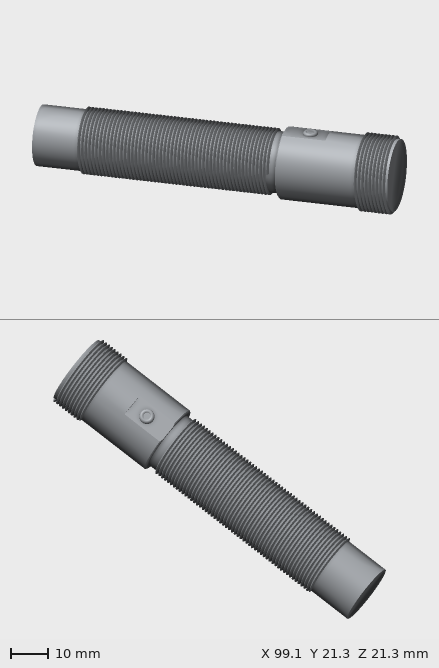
import cadquery as cq

TOTAL_LENGTH = 99.05

SHAFT_DIAMETER = 16.6
HEAD_DIAMETER = 19.7
HEAD_START = 67.75
HEAD_CHAMFER = 0.3

THREAD_PITCH = 1.0
RIDGE_WIDTH = 0.9
RIDGE_ROOT_DEPTH = 0.1
SHAFT_THREAD_DIAMETER = 18.2
SHAFT_THREAD_START = 12.4
SHAFT_THREAD_TURNS = 53.5
HEAD_THREAD_DIAMETER = 21.3
HEAD_THREAD_START = 89.6
HEAD_THREAD_TURNS = 9

FLAT_END = 80.0
FLAT_HEIGHT = 9.3
BUTTON_X = 75.0
BUTTON_DIAMETER = 4.1
BUTTON_TOP_DIAMETER = 1.9
BUTTON_RIM_HEIGHT = 0.1
BUTTON_HEIGHT = 0.6


def cylinder_along_x(start, end, diameter):
    return cq.Workplane("YZ", origin=(start, 0, 0)).circle(diameter / 2).extrude(end - start)


def thread_ridge(start, turns, core_diameter, crest_diameter):
    """Right-handed triangular ridge along X, beginning on the +Y side."""
    root_radius = core_diameter / 2 - RIDGE_ROOT_DEPTH
    path = cq.Wire.makeHelix(
        THREAD_PITCH,
        turns * THREAD_PITCH,
        core_diameter / 2,
        center=cq.Vector(0, 0, 0),
        dir=cq.Vector(0, 0, 1),
    )
    ridge = (
        cq.Workplane("XZ")
        .moveTo(root_radius, -RIDGE_WIDTH / 2)
        .lineTo(crest_diameter / 2, 0)
        .lineTo(root_radius, RIDGE_WIDTH / 2)
        .close()
        .sweep(path, isFrenet=True)
    )
    return (
        ridge.rotate((0, 0, 0), (0, 0, 1), 90)
        .rotate((0, 0, 0), (0, 1, 0), 90)
        .translate((start, 0, 0))
    )


def head():
    body = cylinder_along_x(HEAD_START, TOTAL_LENGTH, HEAD_DIAMETER).faces("<X").chamfer(HEAD_CHAMFER)
    flat_cut = cq.Workplane("XY").box(
        FLAT_END - HEAD_START, HEAD_DIAMETER, HEAD_DIAMETER, centered=(False, True, False)
    )
    return body.cut(flat_cut.translate((HEAD_START, 0, FLAT_HEIGHT)))


def button():
    """Round button with a curved shoulder, reaching below the flat so that it joins the head."""
    rim = BUTTON_DIAMETER / 2
    top = BUTTON_TOP_DIAMETER / 2
    return (
        cq.Workplane("XZ")
        .moveTo(0, -BUTTON_HEIGHT)
        .lineTo(rim, -BUTTON_HEIGHT)
        .lineTo(rim, BUTTON_RIM_HEIGHT)
        .tangentArcPoint((top, BUTTON_HEIGHT), relative=False)
        .lineTo(0, BUTTON_HEIGHT)
        .close()
        .revolve(360, (0, 0, 0), (0, 1, 0))
        .translate((BUTTON_X, 0, FLAT_HEIGHT))
    )


shaft = cylinder_along_x(0, HEAD_START + HEAD_CHAMFER, SHAFT_DIAMETER)
shaft_thread = thread_ridge(SHAFT_THREAD_START, SHAFT_THREAD_TURNS, SHAFT_DIAMETER, SHAFT_THREAD_DIAMETER)
head_thread = thread_ridge(HEAD_THREAD_START, HEAD_THREAD_TURNS, HEAD_DIAMETER, HEAD_THREAD_DIAMETER)

result = shaft.union(shaft_thread).union(head().union(head_thread)).union(button())